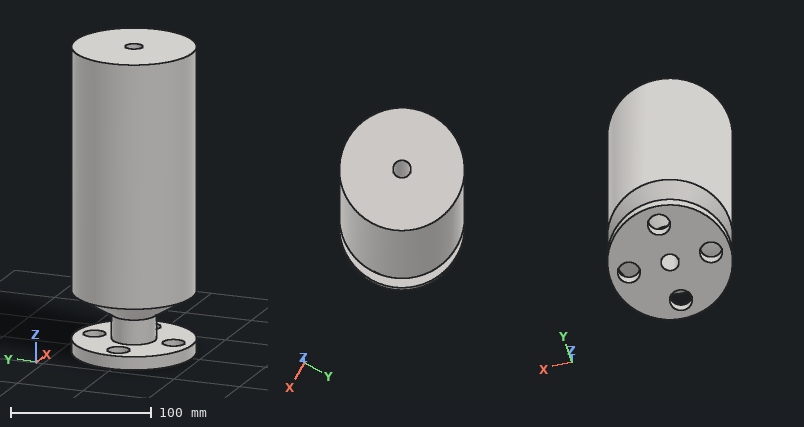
import cadquery as cq

height = 227.0
diameter = 89.0

plate_thickness = 10.0
cone_bottom = 28.4
cone_top = 45.5

stem_diameter = 32.0
bore_diameter = 12.7

mount_hole_count = 4
mount_hole_diameter = 16.0
mount_circle_radius = 30.2


def turned_body():
    """Base plate, stem, cone and cylinder as one revolved profile."""
    outer = diameter / 2
    stem = stem_diameter / 2
    return (
        cq.Workplane("XZ")
        .moveTo(0, 0)
        .lineTo(outer, 0)
        .lineTo(outer, plate_thickness)
        .lineTo(stem, plate_thickness)
        .lineTo(stem, cone_bottom)
        .lineTo(outer, cone_top)
        .lineTo(outer, height)
        .lineTo(0, height)
        .close()
        .revolve(360, (0, 0), (0, 1))
    )


def central_bore():
    """Bore running along the axis from end to end."""
    return cq.Workplane("XY").circle(bore_diameter / 2).extrude(height)


def mounting_holes():
    """Evenly spaced holes through the base plate, starting on the X axis."""
    return (
        cq.Workplane("XY")
        .polarArray(mount_circle_radius, 0, 360, mount_hole_count)
        .circle(mount_hole_diameter / 2)
        .extrude(plate_thickness)
    )


result = turned_body().cut(central_bore()).cut(mounting_holes())